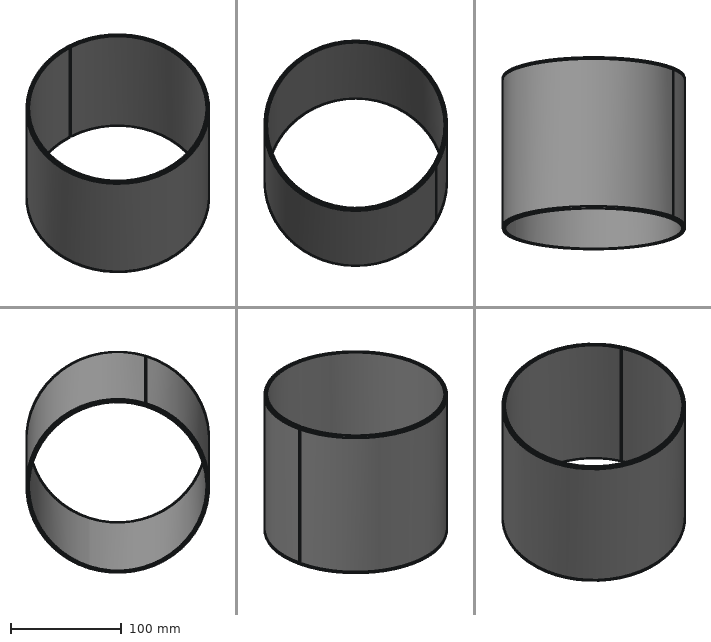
import cadquery as cq

outer_radius = 82.5
height = 140.0
wall = 2.5
outer_bevel_height = 1.8
outer_bevel_width = 0.7
inner_bevel = 0.3
seam_width = 1.3

inner_radius = outer_radius - wall
outer_rim_radius = outer_radius - outer_bevel_width
inner_rim_radius = inner_radius + inner_bevel
half_height = height / 2
outer_bevel_start = half_height - outer_bevel_height
inner_bevel_start = half_height - inner_bevel


def bevelled_sleeve():
    """Thin tube about Z with both rims bevelled inside and out."""
    wall_section = (
        cq.Workplane("XZ")
        .moveTo(inner_rim_radius, -half_height)
        .lineTo(outer_rim_radius, -half_height)
        .lineTo(outer_radius, -outer_bevel_start)
        .lineTo(outer_radius, outer_bevel_start)
        .lineTo(outer_rim_radius, half_height)
        .lineTo(inner_rim_radius, half_height)
        .lineTo(inner_radius, inner_bevel_start)
        .lineTo(inner_radius, -inner_bevel_start)
        .close()
    )
    return wall_section.revolve(360, (0, 0, 0), (0, 1, 0))


def seam_cutter():
    """Full-height slit on the -X side, with one face on the XZ plane and the other at +Y."""
    return cq.Workplane("XY").box(
        outer_radius, seam_width, height, centered=(False, False, True)
    ).translate((-outer_radius, 0, 0))


result = bevelled_sleeve().cut(seam_cutter())